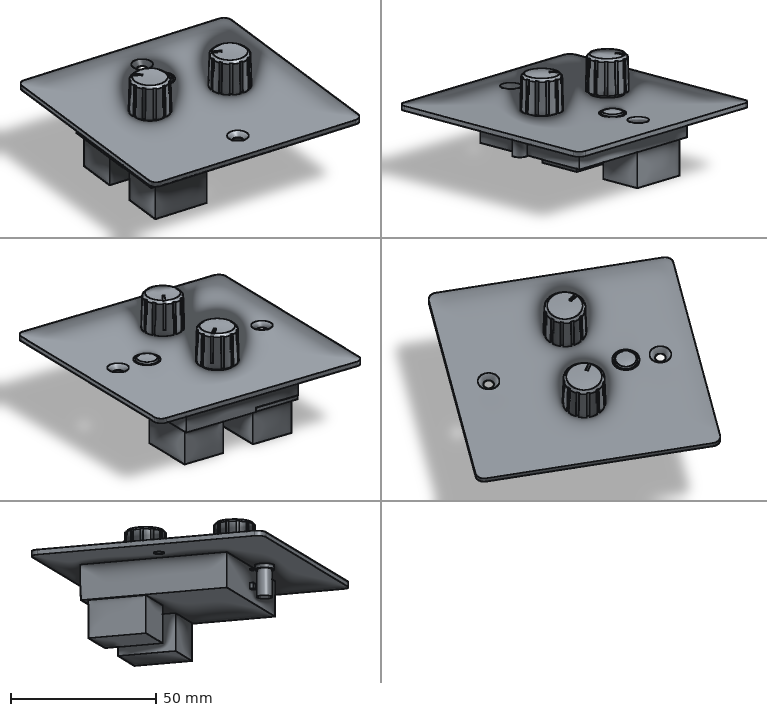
import cadquery as cq
import math

PLATE_SIDE = 86
PLATE_THICK = 1.8
CORNER_RADIUS = 3.0
SCREW_X = 30.2
SCREW_HOLE_DIA = 3.6
COUNTERSINK_DIA = 7.5
COUNTERSINK_ANGLE = 100

HOUSING_HALF_WIDTH = 23.6
HOUSING_BACK_Y = 22.45
HOUSING_FRONT_Y = -31.5
HOUSING_HEIGHT = 12.55
NOTCH_WIDTH = 17.7
NOTCH_HEIGHT = 1.55
NOTCH_DEPTH = 0.3

SOCKET_X = 14.4
SOCKET_WIDTH = 16.25
SOCKET_LENGTH = 21.2
SOCKET_HEIGHT = 13.4
SOCKET_Y = -18.3

BUTTON_SIZE = 2.1
BUTTON_REACH = 1.2
BUTTON_DROP = 7.0
LIP_HEIGHT = 0.35
LIP_REACH = 0.5
LIP_DROP = 1.1

POST_Y = 27.4
POST_DIA = 5.3
POST_LENGTH = 11.2
POST_FLANGE_DIA = 6.7
POST_FLANGE_THICK = 1.5

BADGE_X = -18.1
BADGE_BASE_DIA = 8.25
BADGE_CAP_DIA = 7.2
BADGE_BEVEL_HEIGHT = 0.6
BADGE_DOME_RISE = 0.4
GROOVE_DIA = 9.5
GROOVE_DEPTH = 0.4

KNOB_Y = 16.4
COLLAR_HEIGHT = 1.1
FRONT_COLLAR_DIA = 12
BACK_COLLAR_DIA = 9.3
FRONT_POINTER_ANGLE = 220
BACK_POINTER_ANGLE = 240
KNOB_HEIGHT = 13.4
KNOB_BASE_RADIUS = 7.5
KNOB_SHOULDER_RADIUS = 7.1
KNOB_CAP_RADIUS = 6.1
KNOB_BEVEL_HEIGHT = 1.0
KNOB_DOME_RISE = 0.4
FLUTE_COUNT = 12
FLUTE_WIDTH = 1.0
FLUTE_FLOOR_RADIUS = 6.9
POINTER_WIDTH = 0.9
POINTER_BOTTOM = 2.15
POINTER_INNER_RADIUS = 2.8
POINTER_DEPTH = 0.2

PLATE_BOTTOM = -PLATE_THICK
HOUSING_BOTTOM = PLATE_BOTTOM - HOUSING_HEIGHT
HOUSING_LENGTH = HOUSING_BACK_Y - HOUSING_FRONT_Y
KNOB_SHOULDER_Z = KNOB_HEIGHT - KNOB_DOME_RISE - KNOB_BEVEL_HEIGHT
KNOB_SETTINGS = [
    (-KNOB_Y, FRONT_COLLAR_DIA, FRONT_POINTER_ANGLE),
    (KNOB_Y, BACK_COLLAR_DIA, BACK_POINTER_ANGLE),
]


def block(x_size, y_size, height, x, y, bottom):
    """Box centred on (x, y) that stands on the level `bottom`."""
    centred = (True, True, False)
    return cq.Workplane("XY").box(x_size, y_size, height, centered=centred).translate((x, y, bottom))


def disc(diameter, height, x, y, bottom):
    """Upright cylinder centred on (x, y) that stands on the level `bottom`."""
    return cq.Workplane("XY").circle(diameter / 2).extrude(height).translate((x, y, bottom))


def make_panel():
    panel = block(PLATE_SIDE, PLATE_SIDE, PLATE_THICK, 0, 0, PLATE_BOTTOM)
    panel = panel.edges("|Z").fillet(CORNER_RADIUS)
    return (
        panel.faces(">Z").workplane()
        .pushPoints([(-SCREW_X, 0), (SCREW_X, 0)])
        .cskHole(SCREW_HOLE_DIA, COUNTERSINK_DIA, COUNTERSINK_ANGLE)
    )


def make_badge_groove():
    """Ring that slopes inward from the plate surface to the foot of the badge."""
    inner = BADGE_BASE_DIA / 2
    ring = cq.Workplane("XZ").polyline([(inner, 0), (GROOVE_DIA / 2, 0), (inner, -GROOVE_DEPTH)]).close()
    return ring.revolve(360, (0, 0), (0, 1)).translate((BADGE_X, 0, 0))


def dome_mid_height(edge_radius, rise):
    """Height of a spherical cap above its edge, halfway from its axis to its edge."""
    sphere_radius = (edge_radius**2 + rise**2) / (2 * rise)
    return rise - sphere_radius + math.sqrt(sphere_radius**2 - (edge_radius / 2) ** 2)


def make_badge():
    """Round badge with a bevelled rim and a domed cap."""
    foot = BADGE_BASE_DIA / 2
    cap_edge = BADGE_CAP_DIA / 2
    mid_z = BADGE_BEVEL_HEIGHT + dome_mid_height(cap_edge, BADGE_DOME_RISE)
    profile = (
        cq.Workplane("XZ")
        .moveTo(0, -GROOVE_DEPTH)
        .lineTo(foot, -GROOVE_DEPTH)
        .lineTo(foot, 0)
        .lineTo(cap_edge, BADGE_BEVEL_HEIGHT)
        .threePointArc((cap_edge / 2, mid_z), (0, BADGE_BEVEL_HEIGHT + BADGE_DOME_RISE))
        .close()
    )
    return profile.revolve(360, (0, 0), (0, 1)).translate((BADGE_X, 0, 0))


def make_housing():
    housing_y = (HOUSING_BACK_Y + HOUSING_FRONT_Y) / 2
    housing = block(2 * HOUSING_HALF_WIDTH, HOUSING_LENGTH, HOUSING_HEIGHT, 0, housing_y, HOUSING_BOTTOM)
    notch_x = HOUSING_HALF_WIDTH - NOTCH_WIDTH / 2
    notch_y = HOUSING_FRONT_Y + NOTCH_DEPTH / 2
    housing = housing.cut(block(NOTCH_WIDTH, NOTCH_DEPTH, NOTCH_HEIGHT, notch_x, notch_y, HOUSING_BOTTOM))
    for x in (-SOCKET_X, SOCKET_X):
        socket_bottom = HOUSING_BOTTOM - SOCKET_HEIGHT
        housing = housing.union(block(SOCKET_WIDTH, SOCKET_LENGTH, SOCKET_HEIGHT, x, SOCKET_Y, socket_bottom))
    for reach, height, drop in ((BUTTON_REACH, BUTTON_SIZE, BUTTON_DROP), (LIP_REACH, LIP_HEIGHT, LIP_DROP)):
        bottom = PLATE_BOTTOM - drop - height / 2
        housing = housing.union(block(BUTTON_SIZE, reach, height, 0, HOUSING_BACK_Y + reach / 2, bottom))
    return housing


def make_post():
    shank = disc(POST_DIA, POST_LENGTH, 0, POST_Y, PLATE_BOTTOM - POST_LENGTH)
    flange = disc(POST_FLANGE_DIA, POST_FLANGE_THICK, 0, POST_Y, PLATE_BOTTOM - POST_FLANGE_THICK)
    return shank.union(flange)


def make_wall_plate():
    """Panel with the housing, post, badge and knob collars."""
    plate = make_panel().union(make_housing()).union(make_post())
    plate = plate.cut(make_badge_groove()).union(make_badge())
    for y, collar_dia, _ in KNOB_SETTINGS:
        plate = plate.union(disc(collar_dia, COLLAR_HEIGHT, 0, y, 0))
    return plate


def make_knob_blank():
    """Tapered knob with a bevelled shoulder and a slightly domed cap."""
    cap_edge_z = KNOB_HEIGHT - KNOB_DOME_RISE
    mid_z = cap_edge_z + dome_mid_height(KNOB_CAP_RADIUS, KNOB_DOME_RISE)
    return (
        cq.Workplane("XZ")
        .lineTo(KNOB_BASE_RADIUS, 0)
        .lineTo(KNOB_SHOULDER_RADIUS, KNOB_SHOULDER_Z)
        .lineTo(KNOB_CAP_RADIUS, cap_edge_z)
        .threePointArc((KNOB_CAP_RADIUS / 2, mid_z), (0, KNOB_HEIGHT))
        .close()
        .revolve(360, (0, 0), (0, 1))
    )


def radial_cutter(width, inner_radius, bottom):
    """Slot cutter along +X, from inner_radius to beyond the knob, open at the top."""
    length = 2 * KNOB_BASE_RADIUS - inner_radius
    return block(length, width, KNOB_HEIGHT, inner_radius + length / 2, 0, bottom)


def make_knob(pointer_angle):
    """Fluted knob standing on Z = 0; the pointer takes the place of one flute."""
    knob = make_knob_blank()
    flute = radial_cutter(FLUTE_WIDTH, FLUTE_FLOOR_RADIUS, 0)
    for i in range(1, FLUTE_COUNT):
        knob = knob.cut(flute.rotate((0, 0, 0), (0, 0, 1), i * 360 / FLUTE_COUNT))
    side_pointer = radial_cutter(POINTER_WIDTH, FLUTE_FLOOR_RADIUS, POINTER_BOTTOM)
    cap_pointer_floor = KNOB_HEIGHT - KNOB_DOME_RISE - POINTER_DEPTH
    cap_pointer = radial_cutter(POINTER_WIDTH, POINTER_INNER_RADIUS, cap_pointer_floor)
    knob = knob.cut(side_pointer).cut(cap_pointer)
    return knob.rotate((0, 0, 0), (0, 0, 1), pointer_angle)


wall_plate = make_wall_plate()
knobs = []
for knob_y, _, pointer_angle in KNOB_SETTINGS:
    knobs.append(make_knob(pointer_angle).translate((0, knob_y, COLLAR_HEIGHT)).val())

result = cq.Compound.makeCompound([wall_plate.val(), *knobs])